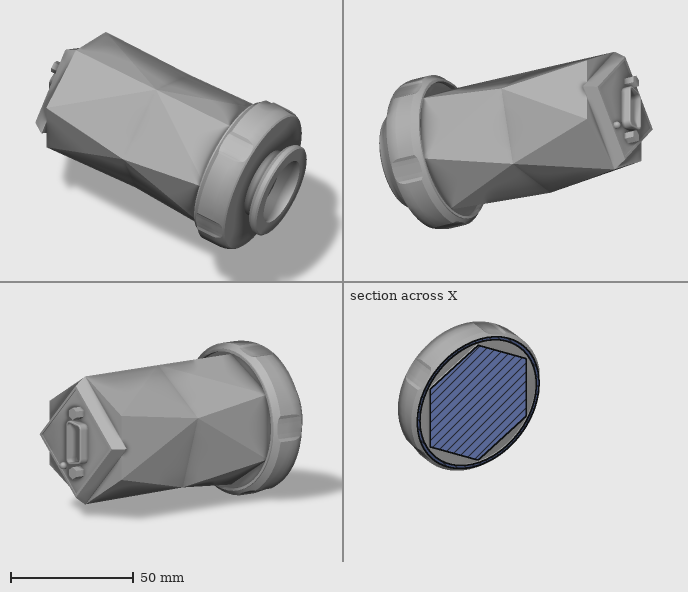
import cadquery as cq
import math

RIM_X = 3.8
RECESS_FLOOR_X = 4.2
BEVEL_END_X = 8.6
HOUSING_X = 9.0
PENTAGON_X = 47.5
HOUSING_END_X = 2 * PENTAGON_X - HOUSING_X
NUT_X = 84.0
NUT_END_X = 99.0
OVERALL_LENGTH = 107.9

BEZEL_RIM_R = 23.2
RECESS_R = 21.8
HOUSING_R = 26.5
HOUSING_END_R = 27.1
PENTAGON_R = 26.9

CONNECTOR_Y = -2.6
FLANGE_WIDTH = 11.3
FLANGE_FLAT = 14.7
FLANGE_END_R = 3.5
CONNECTOR_BASE = 2.6
SHELL_X = 0.3
SHELL_WIDTH = 9.5
SHELL_LONG_HALF = 9.5
SHELL_SHORT_HALF = 8.0
SHELL_CORNER_R = 2.4
SHELL_WALL = 0.8
SHELL_LIP_R = 0.4
SOCKET_DEPTH = 5.2
SCREW_SPACING = 24.6
SCREW_FLATS = 4.4
LED_Y = 7.5
LED_Z = -10.9
LED_D = 2.9
LED_TIP_X = 1.9

NUT_R = 31.4
NUT_COLLAR_R = 58.4 / 2
NUT_COLLAR_END_X = 84.5
NUT_CHAMFER_END_X = 86.8
NUT_CROWN_X = 93.7
NUT_CROWN_END_X = 98.5
NUT_CROWN_END_R = 30.3
NUT_FACE_R = 29.8
NUT_RECESS_R = 28.2
GRIP_COUNT = 5
GRIP_HALF_WIDTH = 5.5
GRIP_FLOOR_HALF_WIDTH = 4.1
GRIP_CENTRE_HALF_WIDTH = 2.2
GRIP_EDGE_R = 31.0
GRIP_FLOOR_R = 30.4
GRIP_CENTRE_R = 30.3

NECK_R = 14.6
BORE_R = 27.8 / 2
RIM_R = 40.0 / 2
CONE_X = 102.9
CONE_END_X = 103.9
CONE_END_R = 18.8
RIM_FLAT_X = 105.5
RIM_FLAT_END_X = 107.3
FLANGE_FACE_R = 19.4


def section(x):
    """Sketch plane across the axis at x: its first axis is +Y, its second +Z, its normal +X."""
    return cq.Workplane("YZ", origin=(x, 0, 0))


def polygon_corners(sides, radius, x):
    """Corners of a regular polygon across the axis, the first at the top, the next towards -Y."""
    angles = [2 * math.pi * i / sides for i in range(sides)]
    return [cq.Vector(x, -radius * math.sin(a), radius * math.cos(a)) for a in angles]


def transition_faces(hexagon, pentagon):
    """Triangles that join a hexagon to a pentagon, both with a corner at the top."""
    faces = []
    for i in range(6):
        faces.append([hexagon[i], hexagon[(i + 1) % 6], pentagon[i % 5]])
    for i in range(5):
        faces.append([pentagon[i], pentagon[(i + 1) % 5], hexagon[i + 1]])
    return faces


def twisted_hull():
    """Faceted hull that runs from a hexagon over a pentagon to a second hexagon."""
    front = polygon_corners(6, HOUSING_R, HOUSING_X)
    waist = polygon_corners(5, PENTAGON_R, PENTAGON_X)
    back = polygon_corners(6, HOUSING_END_R, HOUSING_END_X)
    outlines = [front, back] + transition_faces(front, waist) + transition_faces(back, waist)
    faces = [cq.Face.makeFromWires(cq.Wire.makePolygon(corners, close=True)) for corners in outlines]
    return cq.Workplane(cq.Solid.makeSolid(cq.Shell.makeShell(faces)))


def bezel():
    """Square bezel standing on a corner, with a bevelled rim and a shallow recess."""
    rim_side = BEZEL_RIM_R * math.sqrt(2)
    back_side = HOUSING_R * math.sqrt(2)
    recess_side = RECESS_R * math.sqrt(2)
    bevel = (
        section(RIM_X).rect(rim_side, rim_side)
        .workplane(offset=BEVEL_END_X - RIM_X).rect(back_side, back_side)
        .loft(ruled=True)
    )
    edge = section(BEVEL_END_X).rect(back_side, back_side).extrude(HOUSING_X - BEVEL_END_X)
    recess = section(RIM_X).rect(recess_side, recess_side).extrude(RECESS_FLOOR_X - RIM_X)
    return bevel.union(edge).cut(recess).rotate((0, 0, 0), (1, 0, 0), 45)


def connector_base():
    """Flange of the connector: a straight middle that narrows to a round end at each screw."""
    half_width = FLANGE_WIDTH / 2
    half_flat = FLANGE_FLAT / 2
    end_z = SCREW_SPACING / 2
    reach = math.hypot(half_width, end_z - half_flat)
    corner_direction = math.atan2(half_flat - end_z, half_width)
    tangent_direction = corner_direction + math.acos(FLANGE_END_R / reach)
    tangent_y = FLANGE_END_R * math.cos(tangent_direction)
    tangent_z = end_z + FLANGE_END_R * math.sin(tangent_direction)
    return (
        section(RECESS_FLOOR_X).center(CONNECTOR_Y, 0)
        .moveTo(half_width, -half_flat)
        .lineTo(half_width, half_flat)
        .lineTo(tangent_y, tangent_z)
        .threePointArc((0, end_z + FLANGE_END_R), (-tangent_y, tangent_z))
        .lineTo(-half_width, half_flat)
        .lineTo(-half_width, -half_flat)
        .lineTo(-tangent_y, -tangent_z)
        .threePointArc((0, -end_z - FLANGE_END_R), (tangent_y, -tangent_z))
        .close()
        .extrude(CONNECTOR_BASE)
    )


def make_housing():
    return twisted_hull().union(bezel()).cut(connector_base())


def d_block():
    """D-shaped block with rounded corners that stands on the connector base."""
    half_width = SHELL_WIDTH / 2
    corners = [
        (half_width, SHELL_LONG_HALF),
        (-half_width, SHELL_SHORT_HALF),
        (-half_width, -SHELL_SHORT_HALF),
        (half_width, -SHELL_LONG_HALF),
    ]
    block = section(SHELL_X).center(CONNECTOR_Y, 0)
    block = block.polyline(corners).close().extrude(RECESS_FLOOR_X - SHELL_X)
    return block.edges("|X").fillet(SHELL_CORNER_R)


def make_connector():
    block = d_block()
    socket_outline = block.faces("<X").wires().val().offset2D(-SHELL_WALL)
    socket = section(SHELL_X).newObject(socket_outline).toPending().extrude(SOCKET_DEPTH)
    shell = block.faces("<X").edges().fillet(SHELL_LIP_R)
    return connector_base().union(shell).cut(socket)


def make_jack_screw(z):
    """Hexagonal screw head with two corners on the vertical through its centre."""
    corner_diameter = SCREW_FLATS / math.cos(math.pi / 6)
    return (
        section(0).center(CONNECTOR_Y, z)
        .transformed(rotate=(0, 0, 90))
        .polygon(6, corner_diameter)
        .extrude(RECESS_FLOOR_X)
    )


def make_led():
    """Round indicator lamp with a domed tip."""
    radius = LED_D / 2
    dome_x = LED_TIP_X + radius
    return (
        cq.Workplane("XY")
        .moveTo(LED_TIP_X, 0)
        .threePointArc((dome_x - radius * math.sqrt(0.5), radius * math.sqrt(0.5)), (dome_x, radius))
        .lineTo(RECESS_FLOOR_X, radius)
        .lineTo(RECESS_FLOOR_X, 0)
        .close()
        .revolve(360, (0, 0, 0), (1, 0, 0))
        .translate((0, LED_Y, LED_Z))
    )


def grip_groove():
    """Shallow dished groove along the rim of the nut, on its -Y side."""
    half_profile = [
        (-GRIP_CENTRE_R, GRIP_CENTRE_HALF_WIDTH),
        (-GRIP_FLOOR_R, GRIP_FLOOR_HALF_WIDTH),
        (-GRIP_EDGE_R, GRIP_HALF_WIDTH),
        (-NUT_R, GRIP_HALF_WIDTH),
    ]
    mirrored = [(y, -z) for y, z in reversed(half_profile)]
    return section(NUT_X).polyline(half_profile + mirrored).close().extrude(NUT_END_X - NUT_X)


def make_nut():
    nut = (
        cq.Workplane("XY")
        .moveTo(HOUSING_END_X, 0)
        .lineTo(HOUSING_END_X, NUT_RECESS_R)
        .lineTo(NUT_X, NUT_RECESS_R)
        .lineTo(NUT_X, NUT_COLLAR_R)
        .lineTo(NUT_COLLAR_END_X, NUT_COLLAR_R)
        .lineTo(NUT_CHAMFER_END_X, NUT_R)
        .lineTo(NUT_CROWN_X, NUT_R)
        .tangentArcPoint((NUT_CROWN_END_X, NUT_CROWN_END_R), relative=False)
        .lineTo(NUT_END_X, NUT_FACE_R)
        .lineTo(NUT_END_X, 0)
        .close()
        .revolve(360, (0, 0, 0), (1, 0, 0))
    )
    for i in range(GRIP_COUNT):
        nut = nut.cut(grip_groove().rotate((0, 0, 0), (1, 0, 0), i * 360 / GRIP_COUNT))
    return nut


def make_vacuum_flange():
    profile = [
        (NUT_END_X, BORE_R),
        (NUT_END_X, NECK_R),
        (CONE_X, NECK_R),
        (CONE_END_X, CONE_END_R),
        (RIM_FLAT_X, RIM_R),
        (RIM_FLAT_END_X, RIM_R),
        (OVERALL_LENGTH, FLANGE_FACE_R),
        (OVERALL_LENGTH, BORE_R),
    ]
    return cq.Workplane("XY").polyline(profile).close().revolve(360, (0, 0, 0), (1, 0, 0))


housing = make_housing()
connector = make_connector()
jack_screws = [make_jack_screw(side * SCREW_SPACING / 2) for side in (-1, 1)]
led = make_led()
nut = make_nut()
vacuum_flange = make_vacuum_flange()

result = cq.Compound.makeCompound(
    [
        housing.val(),
        connector.val(),
        *[screw.val() for screw in jack_screws],
        led.val(),
        nut.val(),
        vacuum_flange.val(),
    ]
)